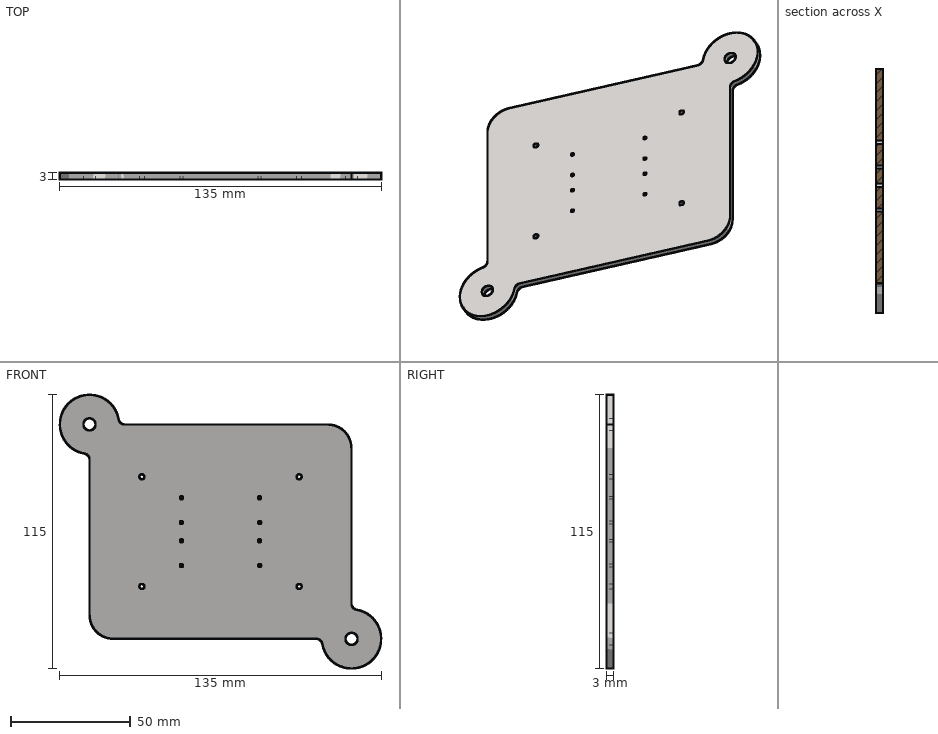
import cadquery as cq

overall_length = 135.0
lug_diameter = 25.0
plate_length = overall_length - lug_diameter
plate_height = 90.0
thickness = 3.0
corner_radius = 10.0
lug_blend_radius = 2.5

lug_hole_diameter = 5.0
mount_hole_diameter = 2.0
mount_spacing_x = 66.0
mount_spacing_z = 46.0
pin_hole_diameter = 1.2
pin_spacing_x = 32.8
pin_outer_spacing_z = 28.5
pin_inner_spacing_z = 7.7

lug_centers = [
    (-plate_length / 2, plate_height / 2),
    (plate_length / 2, -plate_height / 2),
]


def extruded(sketch):
    """Extrude an XZ outline symmetrically about Y = 0."""
    return sketch.extrude(thickness / 2, both=True)


def make_plate():
    """Rectangular plate with its two free corners rounded."""
    plate = extruded(cq.Workplane("XZ").rect(plate_length, plate_height))
    for x, z in lug_centers:
        free_corner = cq.selectors.NearestToPointSelector((-x, 0, z))
        plate = plate.edges("|Y").edges(free_corner).fillet(corner_radius)
    return plate


def add_lugs(plate):
    """Add the round lugs and blend each into the two plate sides it meets."""
    lugs = extruded(cq.Workplane("XZ").pushPoints(lug_centers).circle(lug_diameter / 2))
    body = plate.union(lugs)
    for x, z in lug_centers:
        reach_x = lug_diameter / 2 if x < 0 else -lug_diameter / 2
        reach_z = lug_diameter / 2 if z < 0 else -lug_diameter / 2
        for point in [(x + reach_x, 0, z), (x, 0, z + reach_z)]:
            notch = cq.selectors.NearestToPointSelector(point)
            body = body.edges("|Y").edges(notch).fillet(lug_blend_radius)
    return body


def rectangle_points(spacing_x, spacing_z):
    """Corners of a centered rectangle."""
    return [(i * spacing_x / 2, j * spacing_z / 2) for i in (-1, 1) for j in (-1, 1)]


def cut_holes(body, centers, diameter):
    """Cut round through holes at the given XZ centers."""
    return body.cut(extruded(cq.Workplane("XZ").pushPoints(centers).circle(diameter / 2)))


result = add_lugs(make_plate())
result = cut_holes(result, lug_centers, lug_hole_diameter)
result = cut_holes(result, rectangle_points(mount_spacing_x, mount_spacing_z), mount_hole_diameter)
for pin_spacing_z in (pin_outer_spacing_z, pin_inner_spacing_z):
    result = cut_holes(result, rectangle_points(pin_spacing_x, pin_spacing_z), pin_hole_diameter)